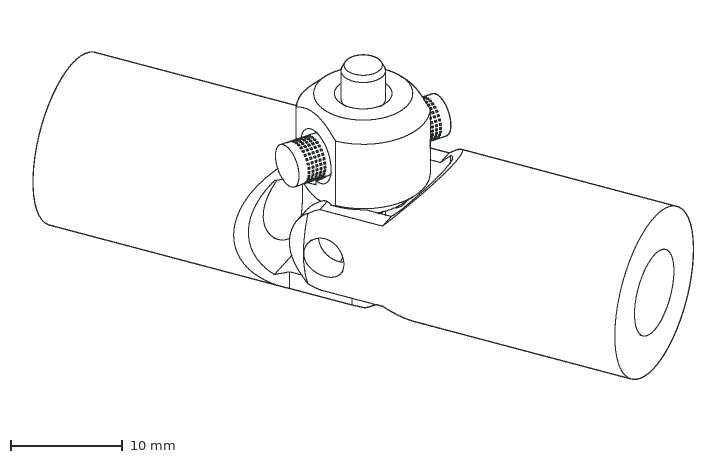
import cadquery as cq
import math


YOKE_LENGTH = 29.0
YOKE_DIAMETER = 16.0
YOKE_RADIUS = YOKE_DIAMETER / 2
BORE_DIAMETER = YOKE_DIAMETER / 2
ARM_GAP = 10.0
SLOT_FLOOR_RADIUS = YOKE_RADIUS
ARM_WIDTH = 8.5
ARM_REACH = 4.0
ARM_TIP_RADIUS = 4.5
ARM_SHOULDER = 9.0
TIP_CHAMFER_LENGTH = 2.0
TIP_CHAMFER_DEPTH = 1.15

CROSS_OFFSET = 8.0
BLOCK_DIAMETER = 12.0
BLOCK_HEIGHT = ARM_GAP
BLOCK_FLATS = ARM_GAP
BLOCK_CHAMFER = 1.55
CROSS_ANGLE = 58.0
SHORT_PIN_TURNS = (0, 180)

PIN_DIAMETER = 4.0
PIN_RADIUS = PIN_DIAMETER / 2
PIN_REACH = YOKE_RADIUS
PIN_CHAMFER_DEPTH = 0.3
PIN_CHAMFER_LENGTH = 0.6
COUNTERSINK_DIAMETER = 5.15
COUNTERSINK_DEPTH = (COUNTERSINK_DIAMETER - PIN_DIAMETER) / 2

KNURL_START = 0.85
KNURL_LENGTH = 2.1
KNURL_ROWS = 5
KNURL_COLUMNS = 30
KNURL_DEPTH = 0.05
KNURL_POCKET_SHARE = 0.4


def make_yoke():
    """Yoke on the -X side, with its arms above and below the pivot."""
    chamfer_start = ARM_REACH - TIP_CHAMFER_LENGTH
    tip_radius = YOKE_RADIUS - TIP_CHAMFER_DEPTH
    tube = (
        cq.Workplane("XY")
        .moveTo(-YOKE_LENGTH, BORE_DIAMETER / 2)
        .lineTo(-YOKE_LENGTH, YOKE_RADIUS)
        .lineTo(chamfer_start, YOKE_RADIUS)
        .lineTo(ARM_REACH, tip_radius)
        .lineTo(ARM_REACH, BORE_DIAMETER / 2)
        .close()
        .revolve(360, (0, 0, 0), (1, 0, 0))
    )

    half_width = ARM_WIDTH / 2
    shoulder_end = -ARM_SHOULDER + YOKE_RADIUS - half_width
    tip_centre = ARM_REACH - ARM_TIP_RADIUS
    tip_start = tip_centre + math.sqrt(ARM_TIP_RADIUS**2 - half_width**2)
    arm_outline = (
        cq.Workplane("XY")
        .moveTo(-YOKE_LENGTH, YOKE_RADIUS)
        .lineTo(-ARM_SHOULDER, YOKE_RADIUS)
        .lineTo(shoulder_end, half_width)
        .lineTo(tip_start, half_width)
        .threePointArc((ARM_REACH, 0), (tip_start, -half_width))
        .lineTo(shoulder_end, -half_width)
        .lineTo(-ARM_SHOULDER, -YOKE_RADIUS)
        .lineTo(-YOKE_LENGTH, -YOKE_RADIUS)
        .close()
        .extrude(YOKE_RADIUS, both=True)
    )

    half_gap = ARM_GAP / 2
    floor_start = -math.sqrt(SLOT_FLOOR_RADIUS**2 - half_gap**2)
    slot = (
        cq.Workplane("XZ")
        .moveTo(ARM_REACH, half_gap)
        .lineTo(floor_start, half_gap)
        .threePointArc((-SLOT_FLOOR_RADIUS, 0), (floor_start, -half_gap))
        .lineTo(ARM_REACH, -half_gap)
        .close()
        .extrude(YOKE_RADIUS, both=True)
    )

    pin_holes = cq.Workplane("XY").circle(PIN_RADIUS).extrude(YOKE_RADIUS, both=True)
    return tube.intersect(arm_outline).cut(slot).cut(pin_holes)


def along_short_pin(body, turn):
    """Lay a body built along +Z from the block centre onto a short pin axis."""
    laid = body.rotate((0, 0, 0), (0, 1, 0), 90)
    turned = laid.rotate((0, 0, 0), (0, 0, 1), CROSS_ANGLE + turn)
    return turned.translate((0, 0, CROSS_OFFSET))


def make_pin_hole(length, mouth):
    """Hole along +Z from the origin, countersunk where it leaves the block at the mouth height."""
    hole = cq.Workplane("XY").circle(PIN_RADIUS).extrude(length)
    countersink = cq.Solid.makeCone(
        PIN_RADIUS,
        COUNTERSINK_DIAMETER / 2,
        COUNTERSINK_DEPTH,
        pnt=cq.Vector(0, 0, mouth - COUNTERSINK_DEPTH),
    )
    return hole.union(cq.Workplane(countersink))


def make_block():
    """Round cross block with two flats, a vertical hole and a hole in each flat."""
    blank = (
        cq.Workplane("XY")
        .circle(BLOCK_DIAMETER / 2)
        .extrude(BLOCK_HEIGHT / 2, both=True)
        .edges()
        .chamfer(BLOCK_CHAMFER)
    )
    flat_limits = cq.Workplane("XY").box(BLOCK_FLATS, BLOCK_DIAMETER, BLOCK_HEIGHT)
    flat_limits = flat_limits.rotate((0, 0, 0), (0, 0, 1), CROSS_ANGLE)
    block = blank.intersect(flat_limits).translate((0, 0, CROSS_OFFSET))

    upper_hole = make_pin_hole(PIN_REACH, BLOCK_HEIGHT / 2)
    lower_hole = upper_hole.rotate((0, 0, 0), (1, 0, 0), 180)
    for hole in (upper_hole, lower_hole):
        block = block.cut(hole.translate((0, 0, CROSS_OFFSET)))

    side_hole = make_pin_hole(PIN_REACH, BLOCK_FLATS / 2)
    for turn in SHORT_PIN_TURNS:
        block = block.cut(along_short_pin(side_hole, turn))
    return block


def cut_knurl(pin, start):
    """Sink rows of small square pockets around a pin on the Z axis, from the start height upwards."""
    row_pitch = KNURL_LENGTH / KNURL_ROWS
    pocket_height = row_pitch * KNURL_POCKET_SHARE
    pocket_width = math.pi * PIN_DIAMETER / KNURL_COLUMNS * KNURL_POCKET_SHARE
    box = cq.Workplane("XY").box(2 * KNURL_DEPTH, pocket_width, pocket_height).val()
    pockets = []
    for row in range(KNURL_ROWS):
        height = start + row_pitch * (row + 1 / 2)
        for column in range(KNURL_COLUMNS):
            raised = box.translate(cq.Vector(PIN_RADIUS, 0, height))
            turn = 360 / KNURL_COLUMNS * (column + 1 / 2)
            pockets.append(raised.rotate(cq.Vector(0, 0, 0), cq.Vector(0, 0, 1), turn))
    return cq.Workplane(pin.val().cut(*pockets))


def make_pin(length):
    """Pin along Z from a chamfered end at the origin to a square end near the knurl."""
    pin = (
        cq.Workplane("XZ")
        .lineTo(PIN_RADIUS - PIN_CHAMFER_DEPTH, 0)
        .lineTo(PIN_RADIUS, PIN_CHAMFER_LENGTH)
        .lineTo(PIN_RADIUS, length)
        .lineTo(0, length)
        .close()
        .revolve(360, (0, 0, 0), (0, 1, 0))
    )
    return cut_knurl(pin, length - KNURL_START - KNURL_LENGTH)


def make_short_pin():
    """Short pin that runs from the long pin's surface out to its plain end."""
    return make_pin(PIN_REACH - PIN_RADIUS).translate((0, 0, PIN_RADIUS))


def make_long_pin():
    """Vertical pin through the block, knurled at its lower end and chamfered at its upper end."""
    pin = make_pin(2 * PIN_REACH).rotate((0, 0, 0), (0, 1, 0), 180)
    return pin.translate((0, 0, CROSS_OFFSET + PIN_REACH))


def relieve(yoke, block):
    """Recess a yoke where the block and the short pins pass through its arms."""
    pin_clearance = cq.Workplane("XY").circle(PIN_RADIUS).extrude(PIN_REACH)
    relieved = yoke.cut(block)
    for turn in SHORT_PIN_TURNS:
        relieved = relieved.cut(along_short_pin(pin_clearance, turn))
    return relieved


block = make_block()
long_pin = make_long_pin()

short_pin = make_short_pin()
short_pins = [along_short_pin(short_pin, turn).val() for turn in SHORT_PIN_TURNS]

first_yoke = make_yoke()
second_yoke = first_yoke.rotate((0, 0, 0), (0, 0, 1), 180).rotate((0, 0, 0), (1, 0, 0), 90)
yokes = [relieve(yoke, block).val() for yoke in (first_yoke, second_yoke)]

result = cq.Compound.makeCompound([*yokes, block.val(), long_pin.val(), *short_pins])